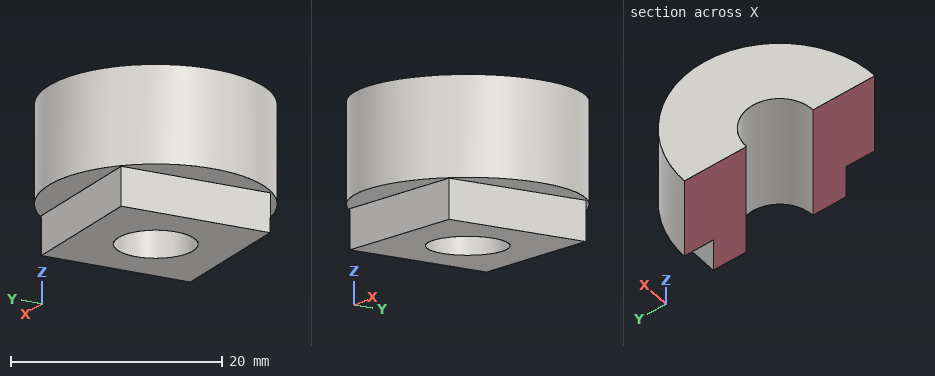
import cadquery as cq

disc_diameter = 23.0
disc_height = 10.0
square_side = 16.0
square_height = 4.0
bore_diameter = 8.0

square_base = cq.Workplane("XY").rect(square_side, square_side).extrude(square_height)

disc = cq.Workplane("XY").workplane(offset=square_height).circle(disc_diameter / 2).extrude(disc_height)

bore = cq.Workplane("XY").circle(bore_diameter / 2).extrude(square_height + disc_height)

result = square_base.union(disc).cut(bore)